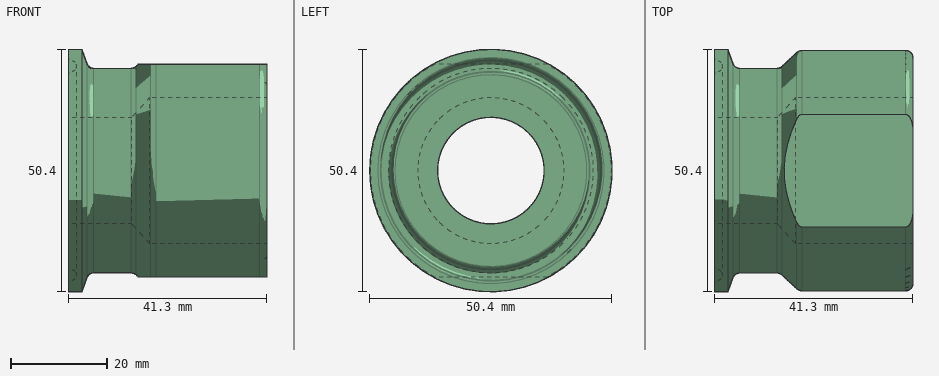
import cadquery as cq
import math

length = 41.3
bore_diameter = 22.1

flange_diameter = 50.4
rim_width = 2.8
flange_back_angle = 20.0
neck_diameter = 42.55
neck_fillet = 1.4

groove_diameter = 43.4
groove_depth = 1.65
groove_wall_angle = 72.0
groove_bottom_radius = 1.15
groove_lip_radius = 0.55

body_diameter = 50.0
body_cone_start = 13.6
body_cone_angle = 43.3
body_shoulder_fillet = 1.6
body_end_fillet = 1.6
across_flats = 44.2

socket_diameter = 30.35
socket_cone_start = 13.1
socket_cone_angle = 48.0


def slope(angle):
    return math.tan(math.radians(angle))


flange_radius = flange_diameter / 2
neck_radius = neck_diameter / 2
body_radius = body_diameter / 2
bore_radius = bore_diameter / 2
socket_radius = socket_diameter / 2

flange_foot_x = rim_width + (flange_radius - neck_radius) * slope(flange_back_angle)
body_shoulder_x = body_cone_start + (body_radius - neck_radius) / slope(body_cone_angle)
socket_floor_x = socket_cone_start + (socket_radius - bore_radius) / slope(socket_cone_angle)


def revolve_about_x(profile):
    return profile.close().revolve(360, (0, 0, 0), (1, 0, 0))


def circular_edge_at(x, radius):
    """Selector for the edge lying wholly in a thin slab at x and inside the given radius."""
    margin = 0.025
    reach = radius + margin
    low = (x - margin, -reach, -reach)
    high = (x + margin, reach, reach)
    return cq.selectors.BoxSelector(low, high, boundingbox=True)


def outer_body():
    body = revolve_about_x(
        cq.Workplane("XY")
        .lineTo(0, flange_radius)
        .lineTo(rim_width, flange_radius)
        .lineTo(flange_foot_x, neck_radius)
        .lineTo(body_cone_start, neck_radius)
        .lineTo(body_shoulder_x, body_radius)
        .lineTo(length, body_radius)
        .lineTo(length, 0)
    )
    for x, radius, fillet in (
        (flange_foot_x, neck_radius, neck_fillet),
        (body_cone_start, neck_radius, neck_fillet),
        (body_shoulder_x, body_radius, body_shoulder_fillet),
        (length, body_radius, body_end_fillet),
    ):
        body = body.edges(circular_edge_at(x, radius)).fillet(fillet)
    return body


def wrench_flat_cutters():
    """Blocks above and below the body, clear of the ferrule."""
    block = cq.Workplane("XY").box(length, body_diameter, body_diameter)
    block_x = body_cone_start + length / 2
    block_z = (across_flats + body_diameter) / 2
    above = block.translate((block_x, 0, block_z))
    below = block.translate((block_x, 0, -block_z))
    return above.add(below).combine()


def bore_and_socket():
    return revolve_about_x(
        cq.Workplane("XY")
        .lineTo(0, bore_radius)
        .lineTo(socket_cone_start, bore_radius)
        .lineTo(socket_floor_x, socket_radius)
        .lineTo(length, socket_radius)
        .lineTo(length, 0)
    )


def gasket_groove():
    """Ring cutter whose section has rounded lips, straight leaning walls and a round bottom."""
    ring_radius = groove_diameter / 2
    wall_sin = math.sin(math.radians(groove_wall_angle))
    wall_cos = math.cos(math.radians(groove_wall_angle))
    half_sin = math.sin(math.radians(groove_wall_angle / 2))
    half_cos = math.cos(math.radians(groove_wall_angle / 2))

    foot_depth = groove_depth - groove_bottom_radius * (1 - wall_cos)
    foot_half = groove_bottom_radius * wall_sin
    top_depth = groove_lip_radius * (1 - wall_cos)
    top_half = foot_half + (foot_depth - top_depth) * wall_cos / wall_sin
    face_half = top_half + groove_lip_radius * wall_sin
    lip_depth = groove_lip_radius * (1 - half_cos)
    lip_half = face_half - groove_lip_radius * half_sin

    return revolve_about_x(
        cq.Workplane("XY")
        .moveTo(0, ring_radius + face_half)
        .threePointArc((lip_depth, ring_radius + lip_half), (top_depth, ring_radius + top_half))
        .lineTo(foot_depth, ring_radius + foot_half)
        .threePointArc((groove_depth, ring_radius), (foot_depth, ring_radius - foot_half))
        .lineTo(top_depth, ring_radius - top_half)
        .threePointArc((lip_depth, ring_radius - lip_half), (0, ring_radius - face_half))
    )


result = outer_body().cut(wrench_flat_cutters()).cut(bore_and_socket()).cut(gasket_groove())